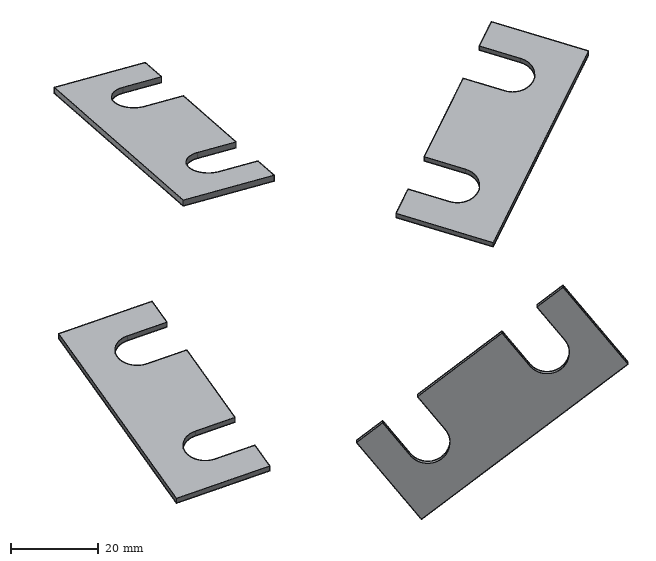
import cadquery as cq

length = 60.45
width = 23.88
thickness = 1.57

slot_width = 10.16
slot_spacing = 34.93
slot_depth = 15.24


def make_plate():
    return cq.Workplane("XY").box(length, width, thickness)


def make_slot(center_x):
    """Cutter for one slot: a straight channel ending in a half circle."""
    radius = slot_width / 2
    edge_y = width / 2
    arc_center_y = edge_y - slot_depth + radius
    return (
        cq.Workplane("XY", origin=(center_x, 0, -thickness / 2))
        .moveTo(-radius, edge_y)
        .lineTo(-radius, arc_center_y)
        .threePointArc((0, edge_y - slot_depth), (radius, arc_center_y))
        .lineTo(radius, edge_y)
        .close()
        .extrude(thickness)
    )


result = make_plate()
for side in (-1, 1):
    result = result.cut(make_slot(side * slot_spacing / 2))